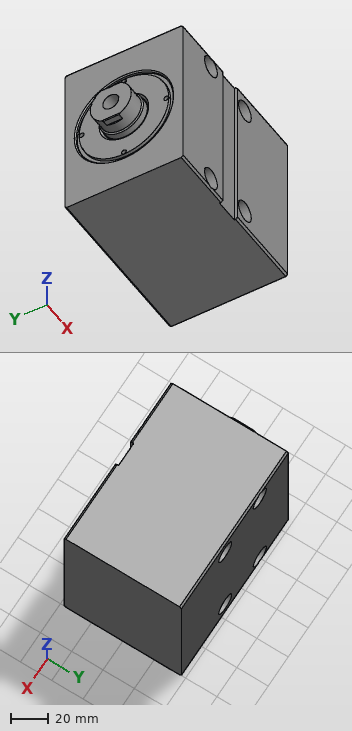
import cadquery as cq

HOUSING_LENGTH = 107.0
HOUSING_DEPTH = 75.0
HOUSING_HEIGHT = 100.0
HOUSING_CHAMFER = 1.2

KEYWAY_START = 40.6
KEYWAY_WIDTH = 15.0
KEYWAY_DEPTH = 2.0

MOUNTING_HOLE_DIAMETER = 13.0
NEAR_HOLES_X = 28.5
NEAR_HOLES_SPACING = 85.0
FAR_HOLES_X = 63.2
FAR_HOLES_SPACING = 76.0

GLAND_LENGTH = 25.0
GLAND_RADIUS = 30.75
GLAND_FACE_RADIUS = 28.4
GLAND_STEP_DEPTH = 2.0
GLAND_COUNTERSINK_RADIUS = 15.7
GLAND_COUNTERSINK_DEPTH = 1.3
GLAND_LEDGE_WIDTH = 0.4
HOUSING_BORE_CHAMFER = 0.75
SPANNER_HOLE_COUNT = 4
SPANNER_HOLE_DIAMETER = 3.0
SPANNER_HOLE_DEPTH = 5.0
SPANNER_TIP_LENGTH = 0.9
SPANNER_CIRCLE_RADIUS = 26.8

ROD_RADIUS = 14.0
ROD_PROTRUSION = 13.5
SHOULDER_TAPER_LENGTH = 0.5
NOSE_RADIUS = 13.0
NOSE_LENGTH = 10.35
FLATS_WIDTH = 24.0
FLATS_LENGTH = 4.0
FLATS_CHAMFER = 0.5
ROD_BORE_DIAMETER = 10.0
ROD_BORE_DEPTH = 20.0


def revolve_about_x(points):
    """Revolve a closed outline of (x, radius) points about the X axis."""
    return cq.Workplane("XY").polyline(points).close().revolve(360, (0, 0, 0), (1, 0, 0))


def make_housing():
    block = cq.Workplane("XY").box(
        HOUSING_LENGTH, HOUSING_DEPTH, HOUSING_HEIGHT, centered=(False, True, True)
    )
    block = block.edges("|X").chamfer(HOUSING_CHAMFER)

    keyway = cq.Workplane("XY").box(
        KEYWAY_WIDTH, 2 * KEYWAY_DEPTH, HOUSING_HEIGHT, centered=(False, True, True)
    )
    block = block.cut(keyway.translate((KEYWAY_START, -HOUSING_DEPTH / 2, 0)))

    hole_rows = [(NEAR_HOLES_X, NEAR_HOLES_SPACING), (FAR_HOLES_X, FAR_HOLES_SPACING)]
    hole_centres = [(x, side * spacing / 2) for x, spacing in hole_rows for side in (-1, 1)]
    mounting_holes = (
        cq.Workplane("XZ")
        .pushPoints(hole_centres)
        .circle(MOUNTING_HOLE_DIAMETER / 2)
        .extrude(HOUSING_DEPTH / 2, both=True)
    )
    block = block.cut(mounting_holes)

    gland_seat = revolve_about_x([
        (0, 0),
        (0, GLAND_RADIUS + HOUSING_BORE_CHAMFER),
        (HOUSING_BORE_CHAMFER, GLAND_RADIUS),
        (GLAND_LENGTH, GLAND_RADIUS),
        (GLAND_LENGTH, 0),
    ])
    return block.cut(gland_seat)


def make_gland():
    gland = revolve_about_x([
        (0, GLAND_COUNTERSINK_RADIUS),
        (0, GLAND_FACE_RADIUS),
        (GLAND_STEP_DEPTH, GLAND_FACE_RADIUS),
        (GLAND_STEP_DEPTH, GLAND_RADIUS),
        (GLAND_LENGTH, GLAND_RADIUS),
        (GLAND_LENGTH, ROD_RADIUS),
        (GLAND_COUNTERSINK_DEPTH, ROD_RADIUS),
        (GLAND_COUNTERSINK_DEPTH, ROD_RADIUS + GLAND_LEDGE_WIDTH),
    ])

    radius = SPANNER_HOLE_DIAMETER / 2
    spanner_hole = revolve_about_x([
        (0, 0),
        (0, radius),
        (SPANNER_HOLE_DEPTH, radius),
        (SPANNER_HOLE_DEPTH + SPANNER_TIP_LENGTH, 0),
    ]).translate((0, 0, SPANNER_CIRCLE_RADIUS))
    for index in range(SPANNER_HOLE_COUNT):
        angle = index * 360 / SPANNER_HOLE_COUNT
        gland = gland.cut(spanner_hole.rotate((0, 0, 0), (1, 0, 0), angle))
    return gland


def make_rod():
    nose_tip = -ROD_PROTRUSION
    shoulder = nose_tip + NOSE_LENGTH
    rod = revolve_about_x([
        (nose_tip, 0),
        (nose_tip, NOSE_RADIUS),
        (shoulder, NOSE_RADIUS),
        (shoulder + SHOULDER_TAPER_LENGTH, ROD_RADIUS),
        (GLAND_LENGTH, ROD_RADIUS),
        (GLAND_LENGTH, 0),
    ])

    flat = FLATS_WIDTH / 2
    flat_cutter = (
        cq.Workplane("XZ")
        .polyline([
            (nose_tip, flat - FLATS_CHAMFER),
            (nose_tip + FLATS_CHAMFER, flat),
            (nose_tip + FLATS_LENGTH, flat),
            (nose_tip + FLATS_LENGTH, ROD_RADIUS),
            (nose_tip, ROD_RADIUS),
        ])
        .close()
        .extrude(ROD_RADIUS, both=True)
    )
    rod = rod.cut(flat_cutter).cut(flat_cutter.mirror("XY"))

    bore = (
        cq.Workplane("YZ", origin=(nose_tip, 0, 0))
        .circle(ROD_BORE_DIAMETER / 2)
        .extrude(ROD_BORE_DEPTH)
    )
    return rod.cut(bore)


housing = make_housing()
gland = make_gland()
rod = make_rod()

result = cq.Compound.makeCompound([housing.val(), gland.val(), rod.val()])